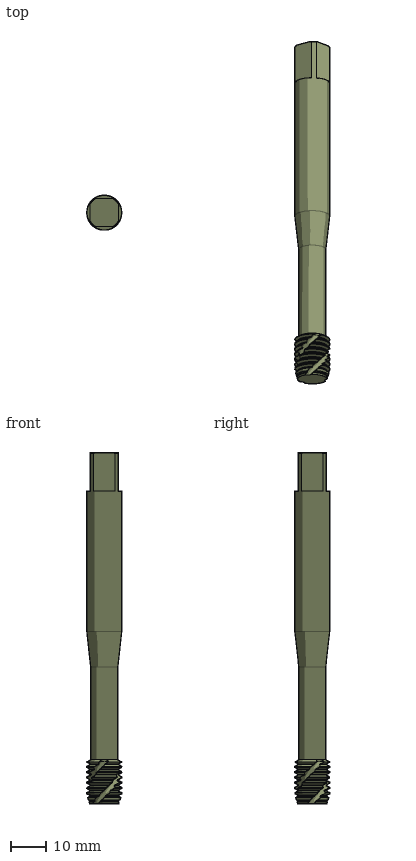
import cadquery as cq
import math

total_length = 100.0
shank_radius = 5.0

square_width = 8.0
square_length = 11.0
end_chamfer = 0.3

neck_radius = 3.9
taper_length = 10.0
taper_bottom_z = 39.0
taper_top_z = taper_bottom_z + taper_length

crest_radius = 5.0
pitch = 1.5
groove_count = 8
crest_flat = 0.3
root_flat = 0.25
flank_slope = math.tan(math.radians(30))
flank_height = (pitch - crest_flat - root_flat) / 2
root_radius = crest_radius - flank_height / flank_slope
top_groove_z = 11.25

head_length = 12.55
head_bevel_height = (crest_radius - neck_radius) * flank_slope
lead_in_radius = 4.2
lead_in_length = 2.6

flute_count = 3
flute_lead = 27.6
flute_radius = 1.25
flute_floor_radius = 3.7
flute_top_angle = -90.0
run_out_length = 0.5


def revolve_about_axis(points):
    """Solid of revolution about Z from (radius, height) points."""
    return cq.Workplane("XZ").polyline(points).close().revolve(360, (0, 0, 0), (0, 1, 0))


def make_shank():
    """Round shank with taper and neck, ending in a chamfered drive square."""
    body = revolve_about_axis(
        [
            (0, head_length),
            (neck_radius, head_length),
            (neck_radius, taper_bottom_z),
            (shank_radius, taper_top_z),
            (shank_radius, total_length - end_chamfer),
            (shank_radius - end_chamfer, total_length),
            (0, total_length),
        ]
    )
    waste_width = 3 * shank_radius
    square_waste = (
        cq.Workplane("XY", origin=(0, 0, total_length - square_length))
        .rect(waste_width, waste_width)
        .rect(square_width, square_width)
        .extrude(square_length)
    )
    return body.cut(square_waste)


def make_head_blank():
    """Plain head with its top bevel and lead-in cone, before threading."""
    return revolve_about_axis(
        [
            (0, 0),
            (lead_in_radius, 0),
            (crest_radius, lead_in_length),
            (crest_radius, head_length - head_bevel_height),
            (neck_radius, head_length),
            (0, head_length),
        ]
    )


def make_thread_groove(center_z):
    """Ring that cuts one groove between two thread ridges."""
    root_half = root_flat / 2
    mouth_half = root_half + flank_height
    outside_radius = crest_radius + pitch
    return revolve_about_axis(
        [
            (root_radius, center_z - root_half),
            (crest_radius, center_z - mouth_half),
            (outside_radius, center_z - mouth_half),
            (outside_radius, center_z + mouth_half),
            (crest_radius, center_z + mouth_half),
            (root_radius, center_z + root_half),
        ]
    )


def flute_sections(z, start_angle):
    """Round flute cross-sections spaced evenly about the axis at one height."""
    center_radius = flute_floor_radius + flute_radius
    return (
        cq.Workplane("XY", origin=(0, 0, z))
        .polarArray(center_radius, start_angle, 360, flute_count)
        .circle(flute_radius)
    )


def cut_flutes(head):
    """Cut the right-handed helical flutes and their straight run-outs."""
    helix_length = head_length - run_out_length
    twist = 360 * helix_length / flute_lead
    helices = flute_sections(0, flute_top_angle - twist).twistExtrude(helix_length, twist)
    run_outs = flute_sections(helix_length, flute_top_angle).extrude(run_out_length)
    return head.cut(helices).cut(run_outs)


def make_cutting_head():
    """Threaded and fluted head under the neck."""
    head = make_head_blank()
    for groove in range(groove_count):
        head = head.cut(make_thread_groove(top_groove_z - groove * pitch))
    return cut_flutes(head)


shank = make_shank()
cutting_head = make_cutting_head()

result = cq.Compound.makeCompound([shank.solids().val(), cutting_head.solids().val()])